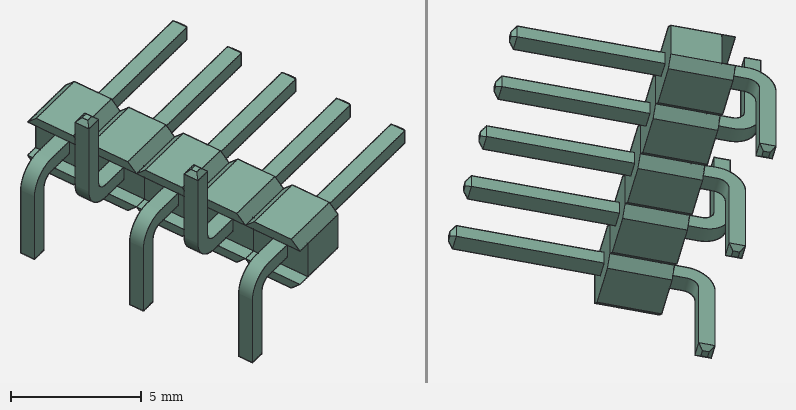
import cadquery as cq
import math

contact_count = 5
row_length = 12.7
pitch = row_length / contact_count

cell_depth = pitch
cell_height = pitch
cell_chamfer = 0.41
recess_depth = 0.53
recess_height = cell_height - 2 * cell_chamfer

pin_width = 0.65
mating_length = 6.01
tail_reach = 1.82
tail_height = 4.27
bend_inner_radius = 0.47
bend_outer_radius = bend_inner_radius + pin_width
tip_length = 0.2
tip_inset = 0.19

pin_back = cell_depth + mating_length
tail_outer = -tail_reach
tail_inner = tail_outer + pin_width
bend_start = tail_outer + bend_outer_radius


def make_cell():
    """Square housing cell with chamfered long edges and a recess across its front."""
    cell = (
        cq.Workplane("XY")
        .box(pitch, cell_depth, cell_height, centered=(True, False, True))
        .edges("|Y")
        .chamfer(cell_chamfer)
    )
    recess = cq.Workplane("XY").box(pitch, recess_depth, recess_height, centered=(True, False, True))
    return cell.cut(recess)


def make_tip(base_plane):
    """Blunt four-sided point that grows along the normal of the given plane."""
    tip_width = pin_width - 2 * tip_inset
    return (
        cq.Workplane(base_plane)
        .rect(pin_width, pin_width)
        .workplane(offset=tip_length)
        .rect(tip_width, tip_width)
        .loft(ruled=True)
    )


def make_pin():
    """Square pin that lies along Y, bends through a right angle and ends in a tail along -Z."""
    half = pin_width / 2
    mating_shoulder = pin_back - tip_length
    tail_shoulder = -(tail_height - tip_length)
    bend_centre_height = -(bend_outer_radius - half)
    outer_mid = bend_outer_radius * math.sqrt(0.5)
    inner_mid = bend_inner_radius * math.sqrt(0.5)

    shank = (
        cq.Workplane("YZ")
        .moveTo(mating_shoulder, half)
        .lineTo(bend_start, half)
        .threePointArc(
            (bend_start - outer_mid, bend_centre_height + outer_mid),
            (tail_outer, bend_centre_height),
        )
        .lineTo(tail_outer, tail_shoulder)
        .lineTo(tail_inner, tail_shoulder)
        .lineTo(tail_inner, bend_centre_height)
        .threePointArc(
            (bend_start - inner_mid, bend_centre_height + inner_mid),
            (bend_start, -half),
        )
        .lineTo(mating_shoulder, -half)
        .close()
        .extrude(half, both=True)
    )
    mating_plane = cq.Plane(origin=(0, mating_shoulder, 0), xDir=(1, 0, 0), normal=(0, 1, 0))
    tail_axis = (tail_outer + tail_inner) / 2
    tail_plane = cq.Plane(origin=(0, tail_axis, tail_shoulder), xDir=(1, 0, 0), normal=(0, 0, -1))
    return shank.union(make_tip(mating_plane)).union(make_tip(tail_plane))


def make_contact_unit(index):
    """One cell and its pin as a single body; every second unit is rolled so its tail points up."""
    unit = make_cell().union(make_pin())
    tail_points_up = index % 2 == 1
    if tail_points_up:
        unit = unit.rotate((0, 0, 0), (0, 1, 0), 180)
    offset = (index - (contact_count - 1) / 2) * pitch
    return unit.translate((offset, 0, 0))


contact_units = [make_contact_unit(index) for index in range(contact_count)]

result = cq.Compound.makeCompound([unit.val() for unit in contact_units])